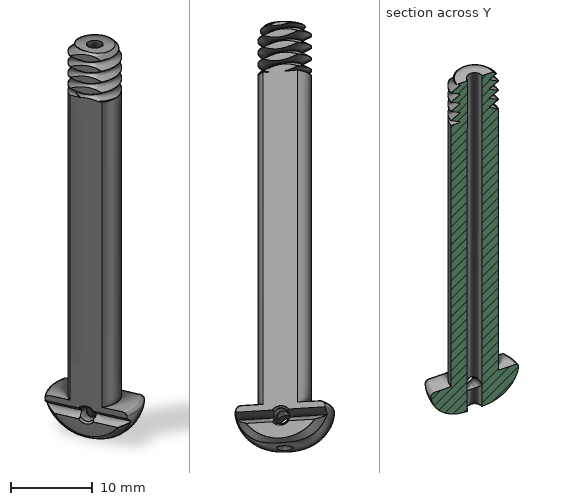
import cadquery as cq
import math

TOTAL_HEIGHT = 53.73
THICKNESS = 5.0
HALF_THICKNESS = THICKNESS / 2
BORE_DIAMETER = 2.0
HOLE_MOUTH_CHAMFER = 0.25

HEAD_HEIGHT = 5.0
HEAD_DIAMETER = 12.2
HEAD_RADIUS = HEAD_DIAMETER / 2
HEAD_TOP_FILLET = 0.6
HEAD_SIDE_RADIUS = HEAD_HEIGHT
BEVEL_DISC_RADIUS = 7.4
BEVEL_CENTER_HEIGHT = 5.95
HEAD_SIDE_BEVEL = 2.0

GROOVE_DROP = 1.57
GROOVE_WIDTH = 1.5
GROOVE_DEPTH = 0.9

SHANK_DIAMETER = 6.6
SHANK_RADIUS = SHANK_DIAMETER / 2
THREAD_LENGTH = 6.35
THREAD_PITCH = 1.5
THREAD_DEPTH = 1.25
THREAD_ROOT_RADIUS = SHANK_RADIUS - THREAD_DEPTH
THREAD_ANGLE = math.radians(60)
THREAD_CREST_BELOW_TIP = 0.34
CREST_WIDTH = 0.04
RIDGE_OVERLAP = 0.05
TIP_DIAMETER = 5.0
TIP_CHAMFER = (SHANK_DIAMETER - TIP_DIAMETER) / 2
TRIM_CLEARANCE = 0.1

GROOVE_ROOT_HEIGHT = HEAD_HEIGHT - GROOVE_DROP
THREAD_START = TOTAL_HEIGHT - THREAD_LENGTH


def make_head():
    """T-head: a round button with rounded rims, bevelled along its two flat sides below the groove roots."""
    rim_reach = math.sqrt((HEAD_SIDE_RADIUS - HEAD_TOP_FILLET) ** 2 - HEAD_TOP_FILLET**2)
    bottom_flat_radius = HEAD_RADIUS - HEAD_TOP_FILLET - rim_reach
    button = (
        cq.Workplane("XZ")
        .lineTo(bottom_flat_radius, 0)
        .tangentArcPoint((bottom_flat_radius + HEAD_SIDE_RADIUS, HEAD_HEIGHT), relative=False)
        .lineTo(0, HEAD_HEIGHT)
        .close()
        .revolve(360, (0, 0, 0), (0, 1, 0))
        .faces(">Z")
        .edges()
        .fillet(HEAD_TOP_FILLET)
    )
    bevelled_disc = (
        cq.Workplane("XZ", origin=(0, 0, BEVEL_CENTER_HEIGHT))
        .circle(BEVEL_DISC_RADIUS)
        .extrude(HALF_THICKNESS, both=True)
        .faces("<Y or >Y")
        .chamfer(HEAD_SIDE_BEVEL)
    )
    upper_block = (
        cq.Workplane("XY", origin=(0, 0, GROOVE_ROOT_HEIGHT))
        .rect(2 * HEAD_DIAMETER, THICKNESS)
        .extrude(HEAD_HEIGHT)
    )
    return button.intersect(bevelled_disc.union(upper_block))


def make_groove(side):
    """V-groove cutter along X in the +Y (side = 1) or -Y (side = -1) flat of the head."""
    surface = side * HALF_THICKNESS
    return (
        cq.Workplane("YZ")
        .moveTo(surface, GROOVE_ROOT_HEIGHT - GROOVE_WIDTH / 2)
        .lineTo(side * (HALF_THICKNESS - GROOVE_DEPTH), GROOVE_ROOT_HEIGHT)
        .lineTo(surface, GROOVE_ROOT_HEIGHT + GROOVE_WIDTH / 2)
        .close()
        .extrude(HEAD_DIAMETER, both=True)
    )


def make_thread_ridge():
    """Helical V ridge that runs at least one pitch past both ends of the threaded tip."""
    crest_half_width = CREST_WIDTH / 2
    base_radius = THREAD_ROOT_RADIUS - RIDGE_OVERLAP
    root_half_width = crest_half_width + THREAD_DEPTH * math.tan(THREAD_ANGLE / 2)
    turns_below = math.ceil(THREAD_LENGTH / THREAD_PITCH) + 1
    start = TOTAL_HEIGHT - THREAD_CREST_BELOW_TIP - turns_below * THREAD_PITCH
    ridge_height = (turns_below + 2) * THREAD_PITCH
    helix = cq.Wire.makeHelix(THREAD_PITCH, ridge_height, base_radius, cq.Vector(0, 0, start))
    return (
        cq.Workplane("XZ")
        .moveTo(base_radius, start - root_half_width)
        .lineTo(THREAD_ROOT_RADIUS, start - root_half_width)
        .lineTo(SHANK_RADIUS, start - crest_half_width)
        .lineTo(SHANK_RADIUS, start + crest_half_width)
        .lineTo(THREAD_ROOT_RADIUS, start + root_half_width)
        .lineTo(base_radius, start + root_half_width)
        .close()
        .sweep(cq.Workplane(obj=helix), isFrenet=True)
    )


def make_threaded_tip():
    """Threaded core whose ridge is trimmed to the tip length and the tip chamfer."""
    tip_base = cq.Workplane("XY", origin=(0, 0, THREAD_START))
    core = tip_base.circle(THREAD_ROOT_RADIUS + RIDGE_OVERLAP / 2).extrude(THREAD_LENGTH)
    envelope = (
        tip_base.circle(SHANK_RADIUS + TRIM_CLEARANCE)
        .extrude(THREAD_LENGTH)
        .faces(">Z")
        .chamfer(TIP_CHAMFER + TRIM_CLEARANCE)
    )
    return core.union(make_thread_ridge().intersect(envelope))


def make_shank():
    """Plain round shank from the head up to the thread."""
    return (
        cq.Workplane("XY", origin=(0, 0, HEAD_HEIGHT))
        .circle(SHANK_RADIUS)
        .extrude(THREAD_START - HEAD_HEIGHT)
    )


def make_flats():
    """Slab that leaves the part with two parallel flat sides."""
    return cq.Workplane("XY").box(HEAD_DIAMETER, THICKNESS, TOTAL_HEIGHT, centered=(True, True, False))


def make_long_bore():
    return cq.Workplane("XY").circle(BORE_DIAMETER / 2).extrude(TOTAL_HEIGHT)


def make_cross_hole():
    """Hole along Y through the groove roots, with a small chamfer at each mouth."""
    radius = BORE_DIAMETER / 2
    mouth_radius = radius + HOLE_MOUTH_CHAMFER
    cone_base = HALF_THICKNESS - HOLE_MOUTH_CHAMFER
    return (
        cq.Workplane("XY", origin=(0, 0, GROOVE_ROOT_HEIGHT))
        .moveTo(0, -HALF_THICKNESS)
        .lineTo(mouth_radius, -HALF_THICKNESS)
        .lineTo(radius, -cone_base)
        .lineTo(radius, cone_base)
        .lineTo(mouth_radius, HALF_THICKNESS)
        .lineTo(0, HALF_THICKNESS)
        .close()
        .revolve(360, (0, 0, 0), (0, 1, 0))
    )


result = make_shank().union(make_threaded_tip()).intersect(make_flats()).union(make_head())
for groove_side in (1, -1):
    result = result.cut(make_groove(groove_side))
result = result.cut(make_long_bore()).cut(make_cross_hole())